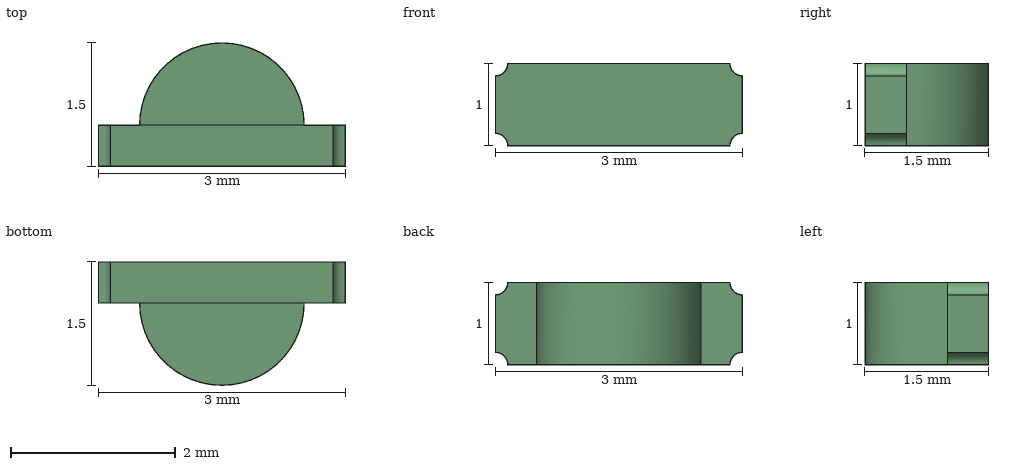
import cadquery as cq

length = 3.0
height = length / 3
base_thickness = length / 6
lens_radius = length / 3
notch_radius = 0.15


def make_base():
    """Flat base plate with a concave quarter-round at each of its four corners."""
    plate = cq.Workplane("XY").box(length, base_thickness, height)
    notches = (
        cq.Workplane("XZ", origin=(0, base_thickness / 2, 0))
        .rect(length, height, forConstruction=True)
        .vertices()
        .circle(notch_radius)
        .extrude(base_thickness)
    )
    return plate.cut(notches)


def make_lens():
    """Half-cylinder lens with a vertical axis, standing on the rear face of the base."""
    rear_face = base_thickness / 2
    return (
        cq.Workplane("XY", origin=(0, rear_face, -height / 2))
        .moveTo(-lens_radius, 0)
        .threePointArc((0, lens_radius), (lens_radius, 0))
        .close()
        .extrude(height)
    )


base = make_base()
lens = make_lens()

result = cq.Compound.makeCompound([base.val(), lens.val()])